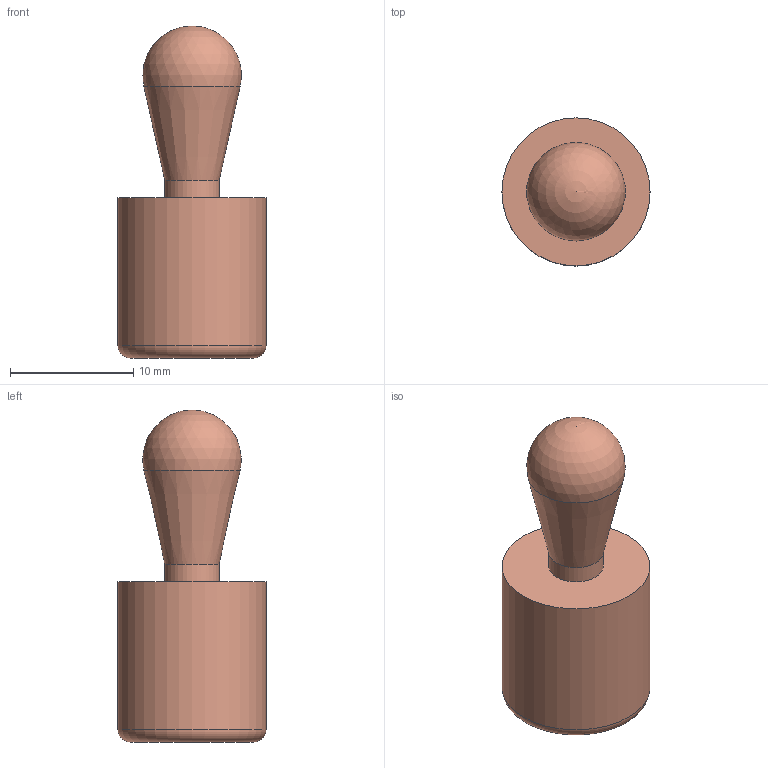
import cadquery as cq
import math

body_radius = 12.0 / 2
body_height = 13.0
bottom_fillet = 1.0

neck_radius = 4.4 / 2
neck_height = 1.4
ball_radius = 8.0 / 2
total_height = 26.9

neck_top = body_height + neck_height
ball_center = total_height - ball_radius

rise = ball_center - neck_top
edge_to_center = math.hypot(neck_radius, rise)
half_angle = math.asin(ball_radius / edge_to_center) - math.atan2(neck_radius, rise)
tangent_radius = ball_radius * math.cos(half_angle)
tangent_height = ball_center - ball_radius * math.sin(half_angle)


def make_body():
    """Plain cylinder with a rounded bottom edge."""
    cylinder = cq.Workplane("XY").circle(body_radius).extrude(body_height)
    return cylinder.faces("<Z").edges().fillet(bottom_fillet)


def make_handle():
    """Neck, cone and ball revolved about Z from one half profile."""
    arc_middle_angle = (math.pi / 2 - half_angle) / 2
    arc_middle = (
        ball_radius * math.cos(arc_middle_angle),
        ball_center + ball_radius * math.sin(arc_middle_angle),
    )
    profile = (
        cq.Workplane("XZ")
        .moveTo(0, body_height)
        .lineTo(neck_radius, body_height)
        .lineTo(neck_radius, neck_top)
        .lineTo(tangent_radius, tangent_height)
        .threePointArc(arc_middle, (0, total_height))
        .close()
    )
    return profile.revolve(360, (0, 0, 0), (0, 1, 0))


result = make_body().union(make_handle())